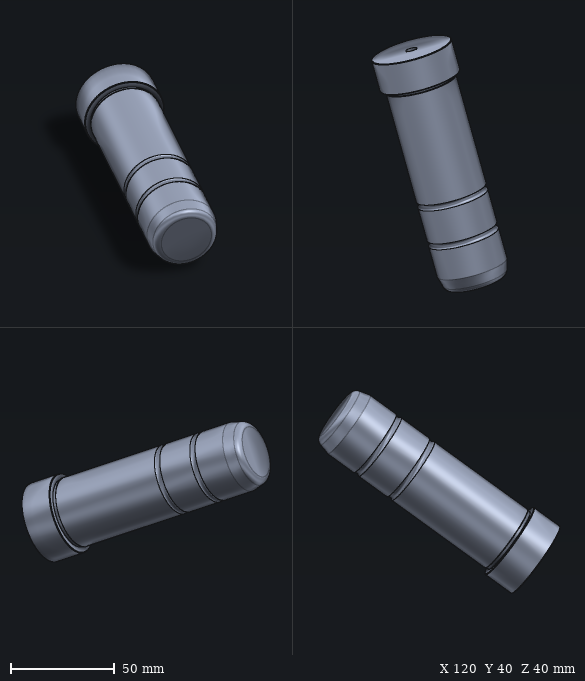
import cadquery as cq
import math

length = 120.0
head_radius = length / 6
head_length = 16.0
head_chamfer = 0.4
shank_radius = 35.0 / 2

relief_length = 1.8
relief_depth = 0.5
relief_runout = 0.2

groove_centres = (75.0, 94.9)
groove_width = 3.0
groove_depth = 0.7

taper_start = 112.0
taper_angle = math.radians(15)
nose_radius = 3.6

countersink_radius = 2.8
pilot_radius = 1.5
pilot_depth = 4.0
countersink_half_angle = math.radians(30)
drill_tip_half_angle = math.radians(60)


def make_pin():
    """Revolve the stepped outline, with its tapered and rounded nose."""
    relief_radius = shank_radius - relief_depth
    relief_end = head_length + relief_length

    arc_x = length - nose_radius
    nose_start_x = arc_x + nose_radius * math.sin(taper_angle)
    nose_start_r = shank_radius - (nose_start_x - taper_start) * math.tan(taper_angle)
    end_radius = nose_start_r - nose_radius * math.cos(taper_angle)
    mid_angle = (math.pi / 2 - taper_angle) / 2
    nose_middle = (
        arc_x + nose_radius * math.cos(mid_angle),
        end_radius + nose_radius * math.sin(mid_angle),
    )

    outline = (
        cq.Workplane("XY")
        .lineTo(0, head_radius - head_chamfer)
        .lineTo(head_chamfer, head_radius)
        .lineTo(head_length - head_chamfer, head_radius)
        .lineTo(head_length, head_radius - head_chamfer)
        .lineTo(head_length, relief_radius)
        .lineTo(relief_end - relief_runout, relief_radius)
        .lineTo(relief_end, shank_radius)
        .lineTo(taper_start, shank_radius)
        .lineTo(nose_start_x, nose_start_r)
        .threePointArc(nose_middle, (length, end_radius))
        .lineTo(length, 0)
        .close()
    )
    return outline.revolve(360, (0, 0, 0), (1, 0, 0))


def make_groove(centre):
    """Ring that cuts one arc-shaped groove into the shank."""
    half_width = groove_width / 2
    section = (
        cq.Workplane("XY")
        .moveTo(centre - half_width, shank_radius)
        .threePointArc((centre, shank_radius - groove_depth), (centre + half_width, shank_radius))
        .lineTo(centre + half_width, head_radius)
        .lineTo(centre - half_width, head_radius)
        .close()
    )
    return section.revolve(360, (0, 0, 0), (1, 0, 0))


def make_centre_hole():
    """Countersink, pilot bore and conical drill tip on the pin axis."""
    countersink_depth = (countersink_radius - pilot_radius) / math.tan(countersink_half_angle)
    tip_length = pilot_radius / math.tan(drill_tip_half_angle)
    section = (
        cq.Workplane("XY")
        .lineTo(0, countersink_radius)
        .lineTo(countersink_depth, pilot_radius)
        .lineTo(pilot_depth, pilot_radius)
        .lineTo(pilot_depth + tip_length, 0)
        .close()
    )
    return section.revolve(360, (0, 0, 0), (1, 0, 0))


result = make_pin()
for groove_centre in groove_centres:
    result = result.cut(make_groove(groove_centre))
result = result.cut(make_centre_hole())